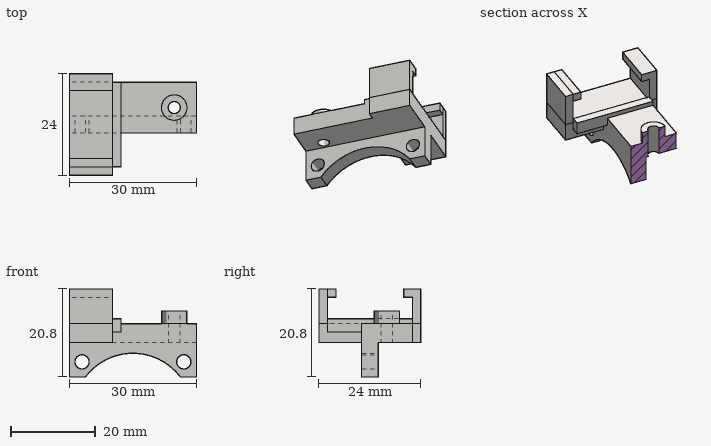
import cadquery as cq

length = 30.0
tray_length = 10.2
tray_width = 24.0
total_height = 20.82
deck_height = 12.63
deck_thickness = 4.5
wall_thickness = 2.0
inner_width = tray_width - 2 * wall_thickness

web_thickness = 4.02
saddle_radius = 14.0
saddle_axis_depth = 8.4
bolt_diameter = 3.3
bolt_inset = 3.0
bolt_height = 3.6

bar_length = 2.0
bar_height = 3.12
bar_rise = 1.15

boss_diameter = 6.0
boss_height = 3.0
boss_bore = 2.8
boss_x = 24.75
boss_y = inner_width / 2 - 6.0


def box(x_range, y_range, z_range):
    """Box given by its lower and upper limits on each axis."""
    sizes = [high - low for low, high in (x_range, y_range, z_range)]
    corner = (x_range[0], y_range[0], z_range[0])
    return cq.Workplane("XY").box(*sizes, centered=False).translate(corner)


def y_cylinder(x, z, radius):
    """Cylinder along Y through the thickness of the web."""
    back_plane = cq.Workplane("XZ", origin=(x, web_thickness / 2, z))
    return back_plane.circle(radius).extrude(web_thickness)


def make_web():
    """Upright web with a round saddle and two bolt holes."""
    web = box((0, length), (-web_thickness / 2, web_thickness / 2), (0, deck_height))
    web = web.cut(y_cylinder(length / 2, -saddle_axis_depth, saddle_radius))
    for bolt_x in (bolt_inset, length - bolt_inset):
        web = web.cut(y_cylinder(bolt_x, bolt_height, bolt_diameter / 2))
    return web


def make_base():
    """Tray floor, side deck, web, stop bar and bored boss in one piece."""
    floor_z = (deck_height - deck_thickness, deck_height)
    floor = box((0, tray_length), (-tray_width / 2, tray_width / 2), floor_z)
    deck = box((0, length), (-web_thickness / 2, inner_width / 2), floor_z)
    bar_top = deck_height + bar_rise
    bar = box(
        (tray_length, tray_length + bar_length),
        (-inner_width / 2, inner_width / 2),
        (bar_top - bar_height, bar_top),
    )
    boss_plane = cq.Workplane("XY", origin=(boss_x, boss_y, deck_height))
    boss = boss_plane.circle(boss_diameter / 2).extrude(boss_height)
    bore = (
        boss_plane.workplane(offset=-deck_thickness)
        .circle(boss_bore / 2)
        .extrude(deck_thickness + boss_height)
    )
    return make_web().union(floor).union(deck).union(bar).union(boss).cut(bore)


def make_wall(y_low):
    """Plain tray wall standing on the floor."""
    return box((0, tray_length), (y_low, y_low + wall_thickness), (deck_height, total_height))


def make_lip(y_low):
    """Square strip level with the top of the walls."""
    lip_z = (total_height - wall_thickness, total_height)
    return box((0, tray_length), (y_low, y_low + wall_thickness), lip_z)


base = make_base()

hooked_wall = make_wall(inner_width / 2).union(make_lip(inner_width / 2 - wall_thickness))
plain_wall = make_wall(-tray_width / 2)
lip_strip = make_lip(-inner_width / 2)

result = cq.Compound.makeCompound(
    [base.solids().val(), hooked_wall.solids().val(), plain_wall.val(), lip_strip.val()]
)